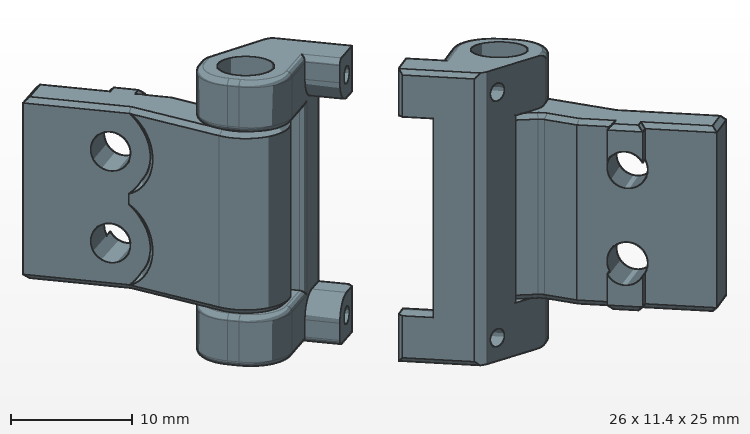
import cadquery as cq
import math


BARREL_BORE_DIAMETER = 3.4
KNUCKLE_BORE_DIAMETER = 4.7

BRACKET_HEIGHT = 25.0
BRACKET_BACK_Y = 7.67
BRACKET_RIGHT_X = 7.0
PLATE_THICKNESS = 4.0
KNUCKLE_HEIGHT = 4.5
KNUCKLE_HALF_WIDTH = 4.0
KNUCKLE_CORNER_RADIUS = 3.5
KNUCKLE_CORNER_Y = -0.2
BRACKET_FILLET = 0.5
FLANK_ANGLE = 60.0
FLANK_START_Y = 0.35
FLANK_FACET_RISE = 0.18
FLANK_CORNER_CUT = 0.85
BACK_CHAMFER = 0.42
BARREL_CLEARANCE = 0.05
ARM_ROUND_RADIUS = 2.0
ARM_HOLE_DIAMETER = 1.5

LEAF_HEIGHT = 15.85
LEAF_LEFT_X = -19.0
LEAF_FRONT_Y = -0.35
LEAF_THICKNESS = 4.0
LEAF_CHAMFER = 0.45
BARREL_RADIUS = 3.72
BEND_ANGLE = 20.0
BACK_BEND_X = -7.25
NECK_FILLET = 0.75
SCREW_X = -11.5
SCREW_SPACING = 8.0
SCREW_HOLE_DIAMETER = 3.4
SCREW_SEAT_DIAMETER = 7.0
SCREW_SEAT_CHAMFER = 0.4
PAD_WIDTH = 3.0
PAD_DEPTH = 1.01
PAD_HEIGHT = 3.1

BRACKET_TOP = BRACKET_HEIGHT / 2
GAP_TOP = BRACKET_TOP - KNUCKLE_HEIGHT
PLATE_FRONT_Y = BRACKET_BACK_Y - PLATE_THICKNESS
ARM_HEIGHT = 2 * ARM_ROUND_RADIUS
KNUCKLE_FLAT = KNUCKLE_HALF_WIDTH - KNUCKLE_CORNER_RADIUS
KNUCKLE_FRONT_Y = KNUCKLE_CORNER_Y - KNUCKLE_CORNER_RADIUS
KNUCKLE_ARC_X = KNUCKLE_FLAT + KNUCKLE_CORNER_RADIUS * math.sqrt(0.5)
KNUCKLE_ARC_Y = KNUCKLE_CORNER_Y - KNUCKLE_CORNER_RADIUS * math.sqrt(0.5)
LEAF_TOP = LEAF_HEIGHT / 2
LEAF_BACK_Y = LEAF_FRONT_Y + LEAF_THICKNESS
SIDES = (1, -1)


def box_between(x_range, y_range, z_range):
    """Box that fills the given ranges."""
    (x0, x1), (y0, y1), (z0, z1) = x_range, y_range, z_range
    return cq.Workplane("XY").box(x1 - x0, y1 - y0, z1 - z0, centered=False).translate((x0, y0, z0))


def axis_cylinder(radius, height):
    """Cylinder on the hinge axis, centred on Z = 0."""
    return cq.Workplane("XY", origin=(0, 0, -height / 2)).circle(radius).extrude(height)


def edges_near(body, points):
    """The edges of a body whose centres lie nearest to the given points."""
    return body.newObject([body.edges(cq.NearestToPointSelector(point)).val() for point in points])


def bracket_blank():
    """Back plate, knuckle and arm outline over the full height."""
    facet_turn = math.radians(90 - FLANK_ANGLE) / 2
    flank_x = -KNUCKLE_HALF_WIDTH + FLANK_FACET_RISE * math.tan(facet_turn)
    flank_y = FLANK_START_Y + FLANK_FACET_RISE
    corner_y = BRACKET_BACK_Y - FLANK_CORNER_CUT
    corner_x = flank_x + (corner_y - flank_y) / math.tan(math.radians(FLANK_ANGLE))
    return (
        cq.Workplane("XY", origin=(0, 0, -BRACKET_TOP))
        .moveTo(flank_x, flank_y)
        .lineTo(-KNUCKLE_HALF_WIDTH, FLANK_START_Y)
        .lineTo(-KNUCKLE_HALF_WIDTH, KNUCKLE_CORNER_Y)
        .threePointArc((-KNUCKLE_ARC_X, KNUCKLE_ARC_Y), (-KNUCKLE_FLAT, KNUCKLE_FRONT_Y))
        .lineTo(KNUCKLE_FLAT, KNUCKLE_FRONT_Y)
        .threePointArc((KNUCKLE_ARC_X, KNUCKLE_ARC_Y), (KNUCKLE_HALF_WIDTH, KNUCKLE_CORNER_Y))
        .lineTo(KNUCKLE_HALF_WIDTH, PLATE_FRONT_Y)
        .lineTo(BRACKET_RIGHT_X, PLATE_FRONT_Y)
        .lineTo(BRACKET_RIGHT_X, BRACKET_BACK_Y - BACK_CHAMFER)
        .lineTo(BRACKET_RIGHT_X - BACK_CHAMFER, BRACKET_BACK_Y)
        .lineTo(corner_x + FLANK_CORNER_CUT, BRACKET_BACK_Y)
        .lineTo(corner_x, corner_y)
        .close()
        .extrude(BRACKET_HEIGHT)
    )


def knuckle_gap():
    """Space between the two knuckles, in front of the back plate."""
    reach = 2 * KNUCKLE_HALF_WIDTH
    return box_between((-reach, reach), (-reach, PLATE_FRONT_Y), (-GAP_TOP, GAP_TOP))


def arm_gap():
    """Space between the two arms, to the right of the back plate."""
    inner_z = BRACKET_TOP - ARM_HEIGHT
    return box_between(
        (KNUCKLE_HALF_WIDTH, 2 * BRACKET_RIGHT_X), (0, 2 * BRACKET_BACK_Y), (-inner_z, inner_z)
    )


def knuckle_rim(z):
    """Points near the edges around a knuckle end at height z, from the left side to the right."""
    left_y = (FLANK_START_Y + KNUCKLE_CORNER_Y) / 2
    right_y = (PLATE_FRONT_Y + KNUCKLE_CORNER_Y) / 2
    return [
        (-KNUCKLE_HALF_WIDTH, left_y, z),
        (-KNUCKLE_ARC_X, KNUCKLE_ARC_Y, z),
        (0, KNUCKLE_FRONT_Y, z),
        (KNUCKLE_ARC_X, KNUCKLE_ARC_Y, z),
        (KNUCKLE_HALF_WIDTH, right_y, z),
    ]


def round_bracket_edges(bracket):
    """Round the arms' inner front edges, the knuckle rims and the plate edge beside the gap."""
    arm_middle_x = (KNUCKLE_HALF_WIDTH + BRACKET_RIGHT_X) / 2
    arm_edges = [(arm_middle_x, PLATE_FRONT_Y, side * (BRACKET_TOP - ARM_HEIGHT)) for side in SIDES]
    bracket = edges_near(bracket, arm_edges).fillet(ARM_ROUND_RADIUS)
    for side in SIDES:
        outer_rim = knuckle_rim(side * BRACKET_TOP) + [(arm_middle_x, PLATE_FRONT_Y, side * BRACKET_TOP)]
        bracket = edges_near(bracket, outer_rim).fillet(BRACKET_FILLET)
    inner_rims = knuckle_rim(GAP_TOP) + knuckle_rim(-GAP_TOP)
    plate_edge = (KNUCKLE_HALF_WIDTH, PLATE_FRONT_Y, 0)
    return edges_near(bracket, inner_rims + [plate_edge]).fillet(BRACKET_FILLET)


def arm_holes():
    """Holes along X through the arms and the plate behind the knuckles."""
    center_y = BRACKET_BACK_Y - PLATE_THICKNESS / 2
    center_z = BRACKET_TOP - ARM_ROUND_RADIUS
    return (
        cq.Workplane("YZ", origin=(-KNUCKLE_HALF_WIDTH, 0, 0))
        .pushPoints([(center_y, side * center_z) for side in SIDES])
        .circle(ARM_HOLE_DIAMETER / 2)
        .extrude(KNUCKLE_HALF_WIDTH + BRACKET_RIGHT_X)
    )


def build_bracket():
    bracket = bracket_blank().cut(knuckle_gap()).cut(arm_gap())
    bracket = round_bracket_edges(bracket)
    bracket = bracket.faces(">Y").edges("<Z or >Z").chamfer(BACK_CHAMFER)
    bracket = bracket.cut(axis_cylinder(BARREL_RADIUS + BARREL_CLEARANCE, 2 * GAP_TOP))
    bracket = bracket.cut(axis_cylinder(KNUCKLE_BORE_DIAMETER / 2, BRACKET_HEIGHT))
    return bracket.cut(arm_holes())


def leaf_blank(height):
    """Bent plate and barrel, centred on Z = 0. The bent faces are tangent to the barrel."""
    bend = math.radians(BEND_ANGLE)
    slope = math.tan(bend)
    tangent_x = -BARREL_RADIUS * math.sin(bend)
    tangent_y = BARREL_RADIUS * math.cos(bend)
    front_bend_x = tangent_x - (LEAF_FRONT_Y + tangent_y) / slope
    neck_x = (BACK_BEND_X + tangent_x + (LEAF_BACK_Y - tangent_y) / slope) / 2
    neck_y = tangent_y + (neck_x - tangent_x) * slope
    blank = (
        cq.Workplane("XY", origin=(0, 0, -height / 2))
        .moveTo(LEAF_LEFT_X, LEAF_FRONT_Y)
        .lineTo(front_bend_x, LEAF_FRONT_Y)
        .lineTo(tangent_x, -tangent_y)
        .threePointArc((BARREL_RADIUS, 0), (tangent_x, tangent_y))
        .lineTo(neck_x, neck_y)
        .lineTo(BACK_BEND_X, LEAF_BACK_Y)
        .lineTo(LEAF_LEFT_X, LEAF_BACK_Y)
        .close()
        .extrude(height)
    )
    return edges_near(blank, [(neck_x, neck_y, 0)]).fillet(NECK_FILLET)


def pad(side):
    """Raised pad on the back face at the upper (1) or lower (-1) end."""
    z_range = sorted((side * LEAF_TOP, side * (LEAF_TOP - PAD_HEIGHT)))
    x_range = (SCREW_X - PAD_WIDTH / 2, SCREW_X + PAD_WIDTH / 2)
    return box_between(x_range, (LEAF_FRONT_Y, LEAF_BACK_Y + PAD_DEPTH), z_range)


def screw_cylinders(diameter, back_y):
    """Cylinders at both screws, from back_y out through the front of the leaf."""
    return (
        cq.Workplane("XZ", origin=(0, back_y, 0))
        .pushPoints([(SCREW_X, side * SCREW_SPACING / 2) for side in SIDES])
        .circle(diameter / 2)
        .extrude(back_y + BARREL_RADIUS)
    )


def seat_cutters():
    """Room for the screw heads where the leaf bends forward, with a chamfered rim."""
    tall_blank = leaf_blank(2 * LEAF_HEIGHT)
    seated = tall_blank.cut(screw_cylinders(SCREW_SEAT_DIAMETER, LEAF_FRONT_Y))
    seated = seated.edges("%ELLIPSE").chamfer(SCREW_SEAT_CHAMFER)
    return tall_blank.cut(seated)


def build_leaf():
    leaf = leaf_blank(LEAF_HEIGHT)
    for side in SIDES:
        leaf = leaf.union(pad(side))
    leaf = leaf.faces("<Z or >Z").chamfer(LEAF_CHAMFER)
    leaf = leaf.cut(seat_cutters())
    leaf = leaf.cut(axis_cylinder(BARREL_BORE_DIAMETER / 2, LEAF_HEIGHT))
    return leaf.cut(screw_cylinders(SCREW_HOLE_DIAMETER, LEAF_BACK_Y + PAD_DEPTH))


bracket = build_bracket()
leaf = build_leaf()
result = cq.Compound.makeCompound([bracket.val(), leaf.val()])